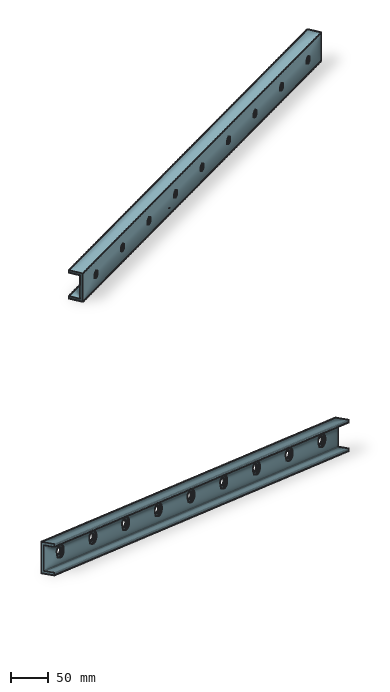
import cadquery as cq

length = 720.0
width = 21.0
height = 43.0
flange_thickness = 3.95
web_thickness = 4.0
inner_corner_radius = 1.0
flange_tip_radius = 1.0

hole_count = 9
hole_pitch = length / hole_count
hole_diameter = 11.0
counterbore_diameter = 18.0
counterbore_depth = web_thickness / 2

web_inner_x = width / 2 - web_thickness
inner_height = height - 2 * flange_thickness


def make_channel():
    """C-shaped section with filleted inner corners and rounded flange tips."""
    outer = cq.Workplane("XY").box(width, length, height)
    cavity_width = width - web_thickness
    cavity = (
        cq.Workplane("XY")
        .box(cavity_width, length, inner_height)
        .translate((-web_thickness / 2, 0, 0))
        .edges("|Y and >X")
        .fillet(inner_corner_radius)
    )
    channel = outer.cut(cavity)
    return channel.faces("<X").edges("|Y").fillet(flange_tip_radius)


def drill_web(channel):
    """Evenly spaced holes, counterbored from the open side of the channel."""
    first_y = -(hole_count - 1) * hole_pitch / 2
    centers = [(first_y + i * hole_pitch, 0) for i in range(hole_count)]
    inner_face = cq.Workplane("YZ", origin=(web_inner_x, 0, 0)).pushPoints(centers)
    holes = inner_face.circle(hole_diameter / 2).extrude(web_thickness)
    counterbores = inner_face.circle(counterbore_diameter / 2).extrude(counterbore_depth)
    return channel.cut(holes).cut(counterbores)


result = drill_web(make_channel())